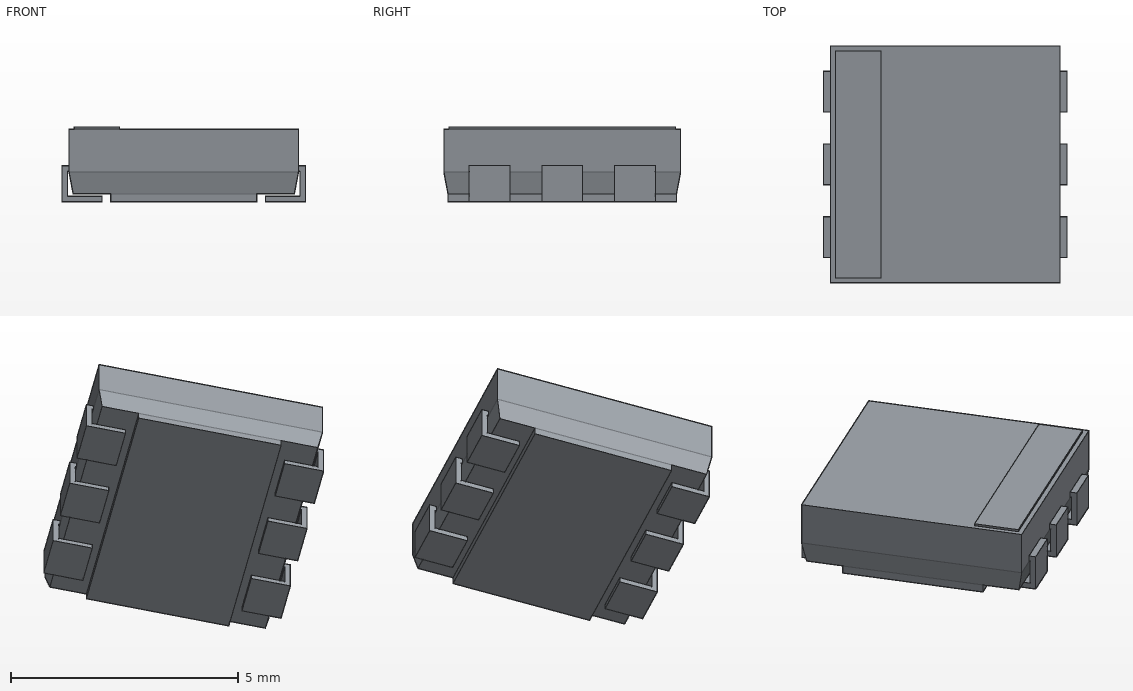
import cadquery as cq

total_x = 5.36
total_y = 5.21
total_z = 1.65

housing_x = 5.05
taper_top_z = 0.66
taper_inset = 0.09
standoff_x = 3.215
standoff_height = 0.175

marker_height = 0.05
marker_inset = 0.11
marker_x = 1.0

leads_per_side = 3
lead_width = 0.9
lead_pitch = 1.595
lead_height = 0.8
lead_thickness = 0.13
foot_length = 0.885

housing_top_z = total_z - marker_height
taper_bottom_x = housing_x - 2 * taper_inset
taper_bottom_y = total_y - 2 * taper_inset
lead_outer_x = total_x / 2
lead_inner_x = lead_outer_x - lead_thickness
foot_end_x = lead_outer_x - foot_length


def block(size_x, size_y, bottom_z, top_z):
    """Box centred on the Z axis between two heights."""
    return (
        cq.Workplane("XY")
        .workplane(offset=bottom_z)
        .rect(size_x, size_y)
        .extrude(top_z - bottom_z)
    )


def make_housing():
    """Block with an underside narrowing down to a central standoff."""
    upper = block(housing_x, total_y, taper_top_z, housing_top_z)
    taper = (
        cq.Workplane("XY")
        .workplane(offset=standoff_height)
        .rect(taper_bottom_x, taper_bottom_y)
        .workplane(offset=taper_top_z - standoff_height)
        .rect(housing_x, total_y)
        .loft(ruled=True)
    )
    standoff = block(standoff_x, taper_bottom_y, 0, standoff_height)
    return upper.union(taper).union(standoff)


def make_marker():
    """Thin strip on the housing top, along its -X edge."""
    center_x = -housing_x / 2 + marker_inset + marker_x / 2
    strip = block(marker_x, total_y - 2 * marker_inset, housing_top_z, total_z)
    return strip.translate((center_x, 0, 0))


def make_lead(center_y):
    """Lead on the +X side: top tab meeting the housing wall, outer wall and inward foot."""
    wall_x = housing_x / 2
    tab_bottom_z = lead_height - lead_thickness
    return (
        cq.Workplane("XZ", origin=(0, center_y, 0))
        .moveTo(wall_x, lead_height)
        .lineTo(lead_outer_x, lead_height)
        .lineTo(lead_outer_x, 0)
        .lineTo(foot_end_x, 0)
        .lineTo(foot_end_x, lead_thickness)
        .lineTo(lead_inner_x, lead_thickness)
        .lineTo(lead_inner_x, tab_bottom_z)
        .lineTo(wall_x, tab_bottom_z)
        .close()
        .extrude(lead_width / 2, both=True)
    )


housing = make_housing()
marker = make_marker()

leads = []
for index in range(leads_per_side):
    center_y = (index - (leads_per_side - 1) / 2) * lead_pitch
    lead = make_lead(center_y)
    leads.append(lead.val())
    leads.append(lead.mirror("YZ").val())

result = cq.Compound.makeCompound([housing.val(), marker.val(), *leads])